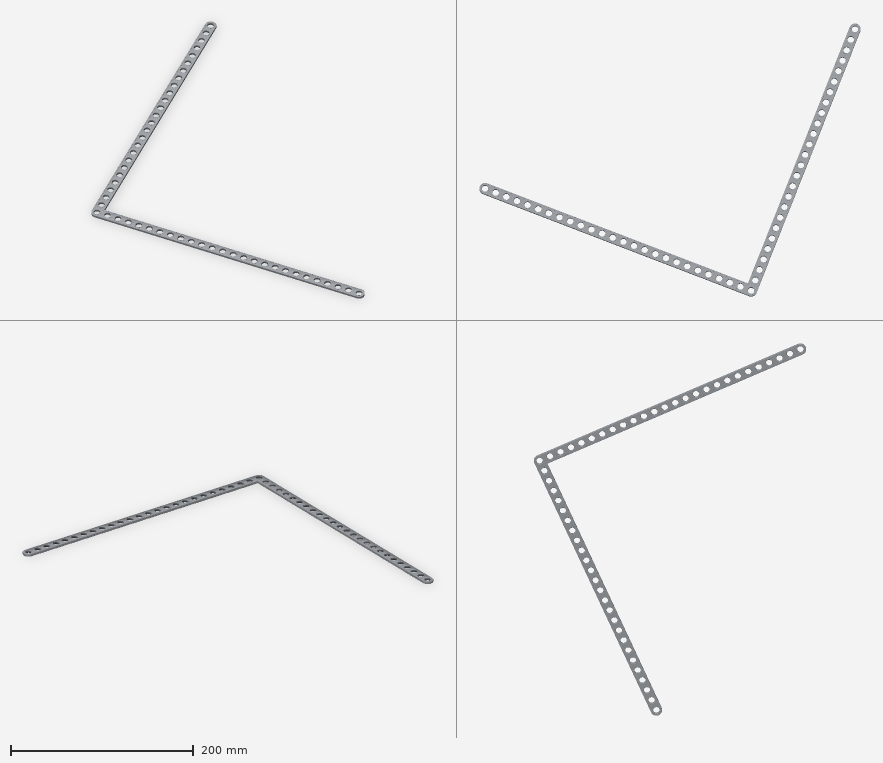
import cadquery as cq

leg_length = 325.0
hole_count = 26
thickness = 3.12
edge_chamfer = 0.3
boss_diameter = 9.0
boss_wall = 1.05
rim_width = 1.15
recess_depth = 0.2

pitch = leg_length / hole_count
hole_span = leg_length - pitch
hole_diameter = boss_diameter - 2 * boss_wall

hole_centers = [(index * pitch, 0) for index in range(hole_count)]
hole_centers += [(0, index * pitch) for index in range(1, hole_count)]


def angle_plate(inset, height):
    """L of two round-ended legs, drawn in from the outline by inset, standing on Z = 0."""
    slot_length = leg_length - 2 * inset
    slot_width = pitch - 2 * inset
    leg_x = cq.Workplane("XY").center(hole_span / 2, 0).slot2D(slot_length, slot_width).extrude(height)
    leg_y = cq.Workplane("XY").center(0, hole_span / 2).slot2D(slot_length, slot_width, 90).extrude(height)
    return leg_x.union(leg_y).clean()


def recess():
    """Shallow top pocket inside the rim, leaving a round boss at every hole."""
    bosses = cq.Workplane("XY").pushPoints(hole_centers).circle(boss_diameter / 2).extrude(recess_depth)
    pocket = angle_plate(rim_width, recess_depth).cut(bosses)
    return pocket.translate((0, 0, thickness - recess_depth))


def chamfered_hole():
    """Cutter for one through hole with its edges broken at both faces."""
    hole_radius = hole_diameter / 2
    mouth_radius = hole_radius + edge_chamfer
    half_profile = [
        (0, 0),
        (mouth_radius, 0),
        (hole_radius, edge_chamfer),
        (hole_radius, thickness - edge_chamfer),
        (mouth_radius, thickness),
        (0, thickness),
    ]
    return cq.Workplane("XZ").polyline(half_profile).close().revolve(360, (0, 0, 0), (0, 1, 0))


body = angle_plate(0, thickness).faces("<Z or >Z").chamfer(edge_chamfer)
body = body.cut(recess())

hole_cutter = chamfered_hole().val()
holes = cq.Workplane("XY").pushPoints(hole_centers).eachpoint(lambda place: hole_cutter.moved(place))
result = body.cut(holes)